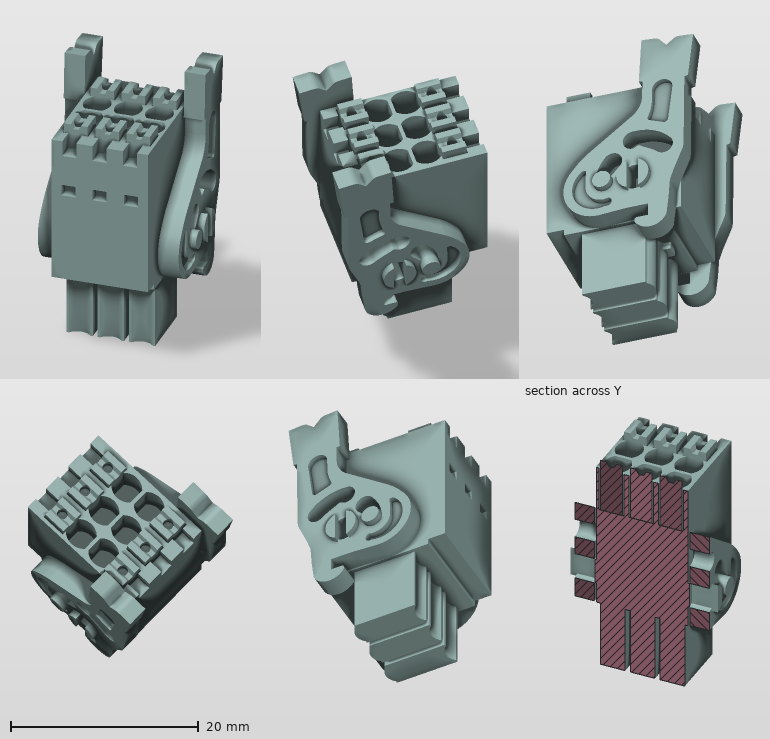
import cadquery as cq


HOUSING_WIDTH = 10.9
HOUSING_FRONT = -7.75
HOUSING_BACK = 7.45
HOUSING_TOP = 25.0
HOUSING_BOTTOM = 8.5
SKIRT_BOTTOM = 7.8
SKIRT_FRONT = -5.77
SKIRT_BACK = 5.48

POLE_PITCH = 3.5
COLUMNS = (-1, 0, 1)
ROWS = (-1, 1)
WELL_FLOOR = 19.73

BUTTON_SHIFT = 0.12
BUTTON_WIDTH = 2.64
BUTTON_INNER = 3.0
BUTTON_OUTER = 5.68
BUTTON_TOP = 26.05
BUTTON_GAP = 0.12
GROOVE_TOP_WIDTH = 1.17
GROOVE_FLOOR_WIDTH = 0.6
GROOVE_DEPTH = 0.53
DIMPLE_DIAMETER = 1.15
DIMPLE_DEPTH = 1.17
DIMPLE_OUTWARD_SHIFT = 0.15
DIMPLE_SIDE_SHIFT = 0.03

ENTRY_SHIFTS = {-1: 0.15, 1: 0.03}
ENTRY_INNER = 0.2
ENTRY_FLAT = 1.87
ENTRY_WIDTH = 3.05

RIM_SLOT_PITCH = 3.43
RIM_SLOT_WIDTH = 1.58
RIM_SLOT_FLOOR = 23.25
WINDOW_WIDTH = 1.58
WINDOW_BOTTOM = 18.5
WINDOW_TOP = 19.75
WINDOW_DEPTH = 1.17

PLUG_SHIFT = -0.05
PLUG_WIDTH = 2.95
PLUG_FRONT = -3.92
PLUG_BACK = 3.28
PLUG_ARC_WIDTH = 2.4
PLUG_ARC_HEIGHT = 0.6

CATCH_FRONT = 3.22
CATCH_BACK = 4.57
CATCH_BOTTOM = 6.85
CATCH_RAMP_TOP = 7.55
CATCH_RAMP_BOTTOM = 7.23
CATCH_TOP_WIDTH = 1.17
CATCH_FOOT_WIDTH = 1.45

LEVER_INNER = 5.6
LEVER_THICKNESS = 2.35
LEVER_OUTER = LEVER_INNER + LEVER_THICKNESS
RECESS_DEPTH = 0.75

PIN_END = 8.7
PIVOT_Y = 3.07
PIVOT_Z = 11.75
PIVOT_RADIUS = 1.52
PIVOT_HEAD_RADIUS = 1.82
PIVOT_SLOT_WIDTH = 1.35
GUIDE_PIN_Y = -0.45
GUIDE_PIN_RADIUS = 1.02
GUIDE_SLOT_RADIUS = 1.08


def box(x_range, y_range, z_range):
    """Block between the given limits along each axis."""
    size = [high - low for low, high in (x_range, y_range, z_range)]
    corner = cq.Vector(x_range[0], y_range[0], z_range[0])
    return cq.Workplane("XY").box(*size, centered=False).translate(corner)


def across(center, width):
    """Limits of a width placed about a centre."""
    return center - width / 2, center + width / 2


def row_span(row, near, far):
    """Y limits between two distances from Y = 0 on the side of the given row."""
    return tuple(sorted((row * near, row * far)))


def button_x(column):
    return column * POLE_PITCH + BUTTON_SHIFT


def side_profile(x):
    """Sketch plane at the given X, with Y across and Z up."""
    return cq.Workplane("YZ", origin=(x, 0, 0))


def lever_outline(sketch):
    """Outline of the lever: handle at the top, cam at the bottom front, hook at the bottom back."""
    return (
        sketch.moveTo(9.7, 28.75)
        .lineTo(8.17, 28.87)
        .threePointArc((7.75, 28.85), (7.4, 28.67))
        .lineTo(6.68, 28.02)
        .lineTo(6.03, 28.75)
        .threePointArc((5.77, 29.02), (5.4, 29.15))
        .lineTo(3.85, 29.28)
        .lineTo(3.55, 23.95)
        .lineTo(3.95, 23.92)
        .lineTo(3.92, 21.93)
        .threePointArc((3.57, 20.6), (2.5, 19.45))
        .lineTo(-2.3, 15.8)
        .threePointArc((-3.22, 14.95), (-4.05, 13.97))
        .threePointArc((-4.57, 9.78), (-1.05, 7.65))
        .lineTo(2.23, 7.88)
        .lineTo(4.6, 7.88)
        .lineTo(4.6, 6.4)
        .lineTo(3.28, 6.4)
        .threePointArc((3.13, 6.32), (3.07, 6.15))
        .lineTo(3.07, 5.85)
        .threePointArc((5.05, 4.9), (6.68, 6.15))
        .lineTo(6.9, 8.2)
        .lineTo(7.05, 10.4)
        .lineTo(7.47, 11.65)
        .lineTo(8.52, 14.3)
        .threePointArc((8.58, 14.65), (8.6, 15.02))
        .lineTo(8.7, 23.48)
        .lineTo(9.1, 23.57)
        .close()
    )


def handle_recess(sketch):
    """Long blind recess in the handle, round at the top."""
    return (
        sketch.moveTo(7.35, 22.55)
        .threePointArc((6.18, 23.65), (5.07, 22.72))
        .lineTo(5.05, 21.23)
        .threePointArc((4.92, 20.2), (4.57, 19.15))
        .threePointArc((4.57, 18.85), (4.77, 18.68))
        .lineTo(6.3, 18.1)
        .threePointArc((6.68, 18.12), (6.85, 18.42))
        .close()
    )


def upper_opening(sketch):
    """Bent opening through the lever, round at both ends."""
    return (
        sketch.moveTo(7.03, 16.0)
        .threePointArc((5.33, 17.22), (2.87, 17.63))
        .threePointArc((1.75, 16.3), (2.93, 15.43))
        .lineTo(3.55, 15.72)
        .lineTo(4.22, 15.3)
        .threePointArc((5.0, 14.87), (5.77, 14.32))
        .threePointArc((7.3, 14.73), (7.03, 16.0))
        .close()
    )


def cam_recess(sketch):
    """Crescent around the guide pin."""
    return (
        sketch.moveTo(-2.4, 13.7)
        .threePointArc((-2.7, 13.75), (-3.05, 13.6))
        .threePointArc((-3.55, 9.93), (-0.23, 8.7))
        .threePointArc((0.45, 9.0), (0.12, 9.7))
        .threePointArc((-1.9, 10.2), (-2.45, 11.75))
        .lineTo(-2.45, 12.77)
        .close()
    )


def guide_slot(sketch):
    """Curved slot that ends around the guide pin."""
    pin_left = GUIDE_PIN_Y - GUIDE_SLOT_RADIUS
    pin_bottom = PIVOT_Z - GUIDE_SLOT_RADIUS
    return (
        sketch.moveTo(-0.35, 14.82)
        .threePointArc((-1.17, 13.38), (pin_left, PIVOT_Z))
        .threePointArc((GUIDE_PIN_Y, pin_bottom), (0.4, 12.41))
        .lineTo(1.45, 13.6)
        .threePointArc((1.08, 15.2), (-0.35, 14.82))
        .close()
    )


def pivot_hole(sketch):
    return sketch.center(PIVOT_Y, PIVOT_Z).circle(PIVOT_RADIUS)


def from_lever_face(outline, depth):
    """Outline extruded inwards from the outer face of the lever on the -X side."""
    return outline(side_profile(-LEVER_OUTER)).extrude(depth)


def make_lever():
    """Lever on the -X side of the housing."""
    lever = from_lever_face(lever_outline, LEVER_THICKNESS)
    for recess in (handle_recess, cam_recess):
        lever = lever.cut(from_lever_face(recess, RECESS_DEPTH))
    for opening in (upper_opening, guide_slot, pivot_hole):
        lever = lever.cut(from_lever_face(opening, LEVER_THICKNESS))
    return lever


def make_button(column, row):
    """Release button with a tapered groove along its top and a round dimple."""
    x = button_x(column)
    y_span = row_span(row, BUTTON_INNER, BUTTON_OUTER)
    groove_floor = BUTTON_TOP - GROOVE_DEPTH
    groove = (
        cq.Workplane("XZ", origin=(x, y_span[1], 0))
        .moveTo(-GROOVE_TOP_WIDTH / 2, BUTTON_TOP)
        .lineTo(-GROOVE_FLOOR_WIDTH / 2, groove_floor)
        .lineTo(GROOVE_FLOOR_WIDTH / 2, groove_floor)
        .lineTo(GROOVE_TOP_WIDTH / 2, BUTTON_TOP)
        .close()
        .extrude(BUTTON_OUTER - BUTTON_INNER)
    )
    dimple_x = x + row * DIMPLE_SIDE_SHIFT
    dimple_y = row * ((BUTTON_INNER + BUTTON_OUTER) / 2 + DIMPLE_OUTWARD_SHIFT)
    dimple = (
        cq.Workplane("XY", origin=(dimple_x, dimple_y, groove_floor - DIMPLE_DEPTH))
        .circle(DIMPLE_DIAMETER / 2)
        .extrude(DIMPLE_DEPTH + GROOVE_DEPTH)
    )
    body = box(across(x, BUTTON_WIDTH), y_span, (WELL_FLOOR, BUTTON_TOP))
    return body.cut(groove).cut(dimple)


def wire_entry(column, row):
    """Well with flat inner and outer ends and rounded sides."""
    x = column * POLE_PITCH + ENTRY_SHIFTS[row]
    inner = row * ENTRY_INNER
    outer = row * BUTTON_INNER
    middle = (inner + outer) / 2
    return (
        cq.Workplane("XY", origin=(x, 0, WELL_FLOOR))
        .moveTo(-ENTRY_FLAT / 2, inner)
        .lineTo(ENTRY_FLAT / 2, inner)
        .threePointArc((ENTRY_WIDTH / 2, middle), (ENTRY_FLAT / 2, outer))
        .lineTo(-ENTRY_FLAT / 2, outer)
        .threePointArc((-ENTRY_WIDTH / 2, middle), (-ENTRY_FLAT / 2, inner))
        .close()
        .extrude(HOUSING_TOP - WELL_FLOOR)
    )


def plug(column):
    """Plug with a hollow front and a matching rounded back."""
    half_width = PLUG_WIDTH / 2
    half_arc = PLUG_ARC_WIDTH / 2
    return (
        cq.Workplane("XY", origin=(column * POLE_PITCH + PLUG_SHIFT, 0, 0))
        .moveTo(-half_width, PLUG_FRONT)
        .lineTo(-half_arc, PLUG_FRONT)
        .threePointArc((0, PLUG_FRONT + PLUG_ARC_HEIGHT), (half_arc, PLUG_FRONT))
        .lineTo(half_width, PLUG_FRONT)
        .lineTo(half_width, PLUG_BACK)
        .lineTo(half_arc, PLUG_BACK)
        .threePointArc((0, PLUG_BACK + PLUG_ARC_HEIGHT), (-half_arc, PLUG_BACK))
        .lineTo(-half_width, PLUG_BACK)
        .close()
        .extrude(SKIRT_BOTTOM)
    )


def catch():
    """Small rib under the skirt that widens towards its foot."""
    half_top = CATCH_TOP_WIDTH / 2
    half_foot = CATCH_FOOT_WIDTH / 2
    return (
        cq.Workplane("XZ", origin=(PLUG_SHIFT, CATCH_BACK, 0))
        .moveTo(-half_top, SKIRT_BOTTOM)
        .lineTo(-half_top, CATCH_RAMP_TOP)
        .lineTo(-half_foot, CATCH_RAMP_BOTTOM)
        .lineTo(-half_foot, CATCH_BOTTOM)
        .lineTo(half_foot, CATCH_BOTTOM)
        .lineTo(half_foot, CATCH_RAMP_BOTTOM)
        .lineTo(half_top, CATCH_RAMP_TOP)
        .lineTo(half_top, SKIRT_BOTTOM)
        .close()
        .extrude(CATCH_BACK - CATCH_FRONT)
    )


def side_pins():
    """Split pivot with a retaining head, and the guide pin, on the -X side."""
    wall = HOUSING_WIDTH / 2
    length = PIN_END - wall
    shaft = side_profile(-PIN_END).center(PIVOT_Y, PIVOT_Z).circle(PIVOT_RADIUS).extrude(length)
    head = (
        side_profile(-PIN_END).center(PIVOT_Y, PIVOT_Z)
        .circle(PIVOT_HEAD_RADIUS).extrude(PIN_END - LEVER_OUTER)
    )
    split = box(
        (-PIN_END, -LEVER_INNER),
        across(PIVOT_Y, PIVOT_SLOT_WIDTH),
        across(PIVOT_Z, 2 * PIVOT_HEAD_RADIUS),
    )
    guide_pin = (
        side_profile(-PIN_END).center(GUIDE_PIN_Y, PIVOT_Z)
        .circle(GUIDE_PIN_RADIUS).extrude(length)
    )
    return shaft.union(head).cut(split).union(guide_pin)


def button_pocket(column, row):
    """Pocket that holds a button, with a gap at the sides and the outer end."""
    return box(
        across(button_x(column), BUTTON_WIDTH + 2 * BUTTON_GAP),
        row_span(row, BUTTON_INNER, BUTTON_OUTER + BUTTON_GAP),
        (WELL_FLOOR, HOUSING_TOP),
    )


def rim_slot(column):
    """Slots from the front and back faces into the button pockets."""
    x_span = across(column * RIM_SLOT_PITCH, RIM_SLOT_WIDTH)
    z_span = (RIM_SLOT_FLOOR, HOUSING_TOP)
    front = box(x_span, (HOUSING_FRONT, -BUTTON_OUTER - BUTTON_GAP), z_span)
    back = box(x_span, (BUTTON_OUTER + BUTTON_GAP, HOUSING_BACK), z_span)
    return front.union(back)


def window(column):
    """Blind test opening in the front face."""
    return box(
        across(column * POLE_PITCH, WINDOW_WIDTH),
        (HOUSING_FRONT, HOUSING_FRONT + WINDOW_DEPTH),
        (WINDOW_BOTTOM, WINDOW_TOP),
    )


def make_housing():
    """Housing block with its skirt, plugs, catch, pivots and guide pins as one body."""
    wall = across(0, HOUSING_WIDTH)
    housing = box(wall, (HOUSING_FRONT, HOUSING_BACK), (HOUSING_BOTTOM, HOUSING_TOP))
    housing = housing.union(box(wall, (SKIRT_FRONT, SKIRT_BACK), (SKIRT_BOTTOM, HOUSING_BOTTOM)))
    housing = housing.union(catch())
    pins = side_pins()
    housing = housing.union(pins).union(pins.mirror("YZ"))
    for column in COLUMNS:
        housing = housing.union(plug(column))
        for row in ROWS:
            housing = housing.cut(button_pocket(column, row)).cut(wire_entry(column, row))
        housing = housing.cut(rim_slot(column)).cut(window(column))
    return housing


housing = make_housing()
left_lever = make_lever()
right_lever = left_lever.mirror("YZ")
buttons = [make_button(column, row).val() for column in COLUMNS for row in ROWS]

result = cq.Compound.makeCompound([housing.val(), left_lever.val(), right_lever.val(), *buttons])